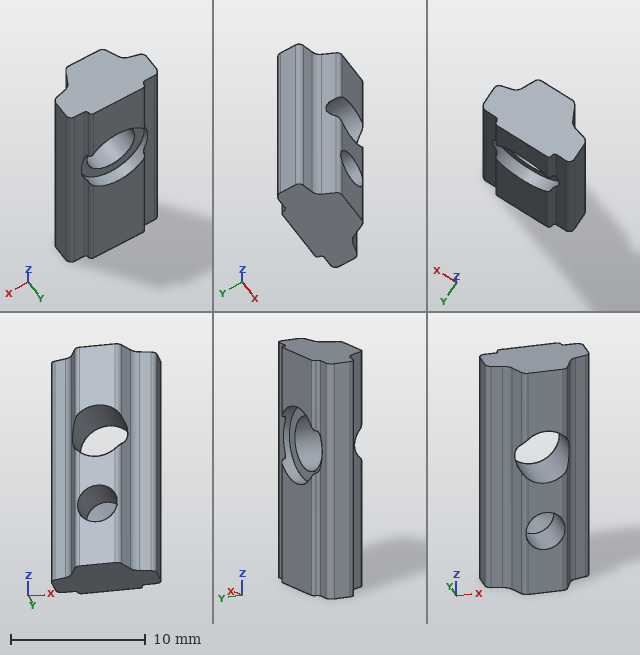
import cadquery as cq

length = 18.0
width = 8.0
depth = 4.7

back_half_width = 2.45
step_height = 0.5
flange_front_corner = 2.03
neck_half_width = 2.41
neck_depth = 1.62
front_half_width = 1.64

flange_back_radius = 0.47
flange_front_radius = 0.47
step_radius = step_height / 2
neck_radius = 0.9
front_radius = 0.47

hole_height = 11.0
hole_diameter = 4.2
counterbore_diameter = 5.87
counterbore_depth = 1.0

blind_height = 5.0
blind_diameter = 3.0
blind_depth = 3.0
blind_tip_diameter = 0.4
blind_cone_depth = 0.75

front_y = -depth / 2
back_y = depth / 2


def make_bar():
    """Extrude the right half profile, round its corners and mirror it."""
    rounded_corners = [
        (front_half_width, front_y, front_radius),
        (neck_half_width, front_y + neck_depth, neck_radius),
        (width / 2, front_y + flange_front_corner, flange_front_radius),
        (width / 2, back_y - step_height, flange_back_radius),
    ]
    half = (
        cq.Workplane("XY")
        .polyline([(0, front_y)] + [(x, y) for x, y, _ in rounded_corners])
        .lineTo(back_half_width + step_radius, back_y - step_height)
        .radiusArc((back_half_width, back_y - step_radius), step_radius)
        .radiusArc((back_half_width - step_radius, back_y), -step_radius)
        .lineTo(0, back_y)
        .close()
        .extrude(length)
    )
    for x, y, radius in rounded_corners:
        corner = cq.selectors.NearestToPointSelector((x, y, length / 2))
        half = half.edges("|Z").edges(corner).fillet(radius)
    return half.union(half.mirror("YZ")).clean()


def cylinder_along_y(diameter, start_y, end_y, height):
    """Make a cylinder between two Y positions at the given height."""
    start = cq.Vector(0, start_y, height)
    return cq.Workplane(obj=cq.Solid.makeCylinder(diameter / 2, end_y - start_y, start, cq.Vector(0, 1, 0)))


def make_mounting_hole():
    through = cylinder_along_y(hole_diameter, front_y, back_y, hole_height)
    counterbore = cylinder_along_y(counterbore_diameter, back_y - counterbore_depth, back_y, hole_height)
    return through.union(counterbore)


def make_blind_hole():
    """Revolve the stepped half section about the hole axis."""
    radius = blind_diameter / 2
    return (
        cq.Workplane("XY", origin=(0, front_y, blind_height))
        .moveTo(0, 0)
        .lineTo(radius, 0)
        .lineTo(radius, blind_depth)
        .lineTo(blind_tip_diameter / 2, blind_depth + blind_cone_depth)
        .lineTo(0, blind_depth + blind_cone_depth)
        .close()
        .revolve(360, (0, 0, 0), (0, 1, 0))
    )


result = make_bar().cut(make_mounting_hole()).cut(make_blind_hole())